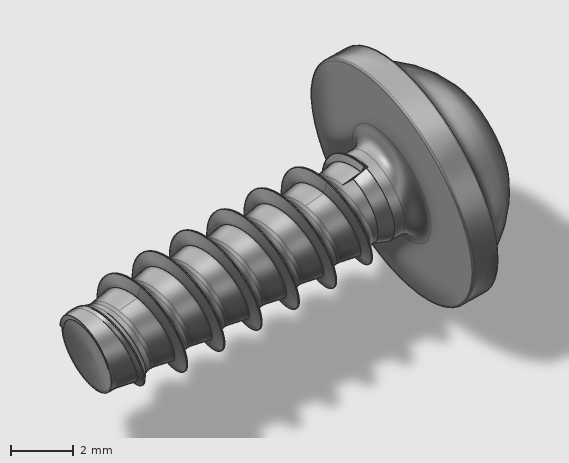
import cadquery as cq
import math

flange_radius = 4.5
flange_thickness = 1.01
flange_rounding = 0.06
head_height = 3.11
dome_base_radius = 3.91
dome_top_radius = 2.11
dome_foot_fillet = 0.06

shank_length = 15.1 - head_height
neck_radius = 1.57
neck_fillet = 0.6
neck_length = 1.0
core_taper_end = 1.51
core_radius = 1.37
tip_dimple_radius = 1.31
tip_dimple_depth = 0.1

pitch = 1.46
thread_start_depth = 1.05
thread_start_angle = 90
crest_radius = 2.0
crest_start_radius = 1.7
crest_end_radius = 1.46
run_in_turns = 1
full_turns = 5
run_out_turns = 1.25
crest_width = 0.05
head_side_foot = 0.23
root_flare_length = 0.27
flare_radius = 1.43
tip_side_foot = 0.15
tip_side_foot_radius = 1.51
turn_gap = 0.02
buried_radius = 1.28
wedge_end_radius = 1.36


def make_head():
    dome_height = head_height - flange_thickness
    centre_drop = (dome_base_radius**2 - dome_top_radius**2 - dome_height**2) / (2 * dome_height)
    sphere_radius = math.hypot(dome_base_radius, centre_drop)
    mid_height = dome_height / 2
    mid_radius = math.sqrt(sphere_radius**2 - (mid_height + centre_drop) ** 2)
    dome = (
        cq.Workplane("XZ")
        .moveTo(0, 0)
        .lineTo(0, -head_height)
        .lineTo(dome_top_radius, -head_height)
        .threePointArc(
            (mid_radius, -flange_thickness - mid_height),
            (dome_base_radius, -flange_thickness),
        )
        .lineTo(dome_base_radius, 0)
        .close()
        .revolve(360, (0, 0), (0, 1))
    )
    flange = cq.Workplane("XY").circle(flange_radius).extrude(-flange_thickness)
    head = dome.union(flange.edges().fillet(flange_rounding))
    dome_base = cq.selectors.RadiusNthSelector(2)
    return head.edges("%CIRCLE").edges(dome_base).fillet(dome_foot_fillet)


def make_shank():
    return (
        cq.Workplane("XZ")
        .moveTo(0, -flange_thickness)
        .lineTo(neck_radius, -flange_thickness)
        .lineTo(neck_radius + neck_fillet, 0)
        .radiusArc((neck_radius, neck_fillet), neck_fillet)
        .lineTo(neck_radius, neck_length)
        .lineTo(core_radius, core_taper_end)
        .lineTo(core_radius, shank_length)
        .lineTo(tip_dimple_radius, shank_length)
        .lineTo(0, shank_length - tip_dimple_depth)
        .close()
        .revolve(360, (0, 0), (0, 1))
    )


def make_helix(depth, start_radius, end_radius, turns):
    """Helix of constant pitch whose radius changes evenly along its length."""
    rise = pitch * turns
    if start_radius == end_radius:
        helix = cq.Wire.makeHelix(pitch, rise, start_radius)
    else:
        slope = math.atan2(end_radius - start_radius, rise)
        slant = 1 / math.cos(slope)
        helix = cq.Wire.makeHelix(
            pitch * slant,
            rise * slant,
            start_radius,
            angle=math.degrees(slope),
        )
    return helix.translate(cq.Vector(0, 0, depth)).Edges()[0]


def make_thread_stretch(turns_before, turns, start_crest, end_crest):
    """Thread ridge with its sawtooth root, as (depth from crest, start radius, end radius)."""
    half_crest = crest_width / 2
    head_end = -head_side_foot - root_flare_length
    tip_end = head_end + pitch - turn_gap
    corners = [
        (head_end, buried_radius, buried_radius),
        (head_end, wedge_end_radius, wedge_end_radius),
        (-head_side_foot, flare_radius, flare_radius),
        (-half_crest, start_crest, end_crest),
        (half_crest, start_crest, end_crest),
        (tip_side_foot, tip_side_foot_radius, tip_side_foot_radius),
        (tip_end, wedge_end_radius, wedge_end_radius),
        (tip_end, buried_radius, buried_radius),
    ]
    start_depth = thread_start_depth + pitch * turns_before
    rails = [make_helix(start_depth + offset, first, last, turns) for offset, first, last in corners]
    faces = [
        cq.Face.makeRuledSurface(rail, next_rail)
        for rail, next_rail in zip(rails, rails[1:] + rails[:1])
    ]
    end_angle = math.radians(360 * turns)
    end_depth = start_depth + pitch * turns
    start_points = [cq.Vector(first, 0, start_depth + offset) for offset, first, last in corners]
    end_points = [
        cq.Vector(last * math.cos(end_angle), last * math.sin(end_angle), end_depth + offset)
        for offset, first, last in corners
    ]
    for points in (start_points, end_points):
        faces.append(cq.Face.makeFromWires(cq.Wire.makePolygon(points, close=True)))
    stretch = cq.Solid.makeSolid(cq.Shell.makeShell(faces)).fix()
    turn = cq.Workplane(obj=stretch).rotate((0, 0, 0), (0, 0, 1), thread_start_angle)
    limit = cq.Workplane("XY").circle(2 * crest_radius).extrude(shank_length)
    return turn.intersect(limit)


run_in = make_thread_stretch(0, run_in_turns, crest_start_radius, crest_radius)
full_thread = make_thread_stretch(run_in_turns, full_turns, crest_radius, crest_radius)
run_out = make_thread_stretch(run_in_turns + full_turns, run_out_turns, crest_radius, crest_end_radius)

screw = make_head().union(make_shank())
for stretch in (run_in, full_thread, run_out):
    screw = screw.union(stretch)

result = screw.rotate((0, 0, 0), (1, 0, 0), 90)